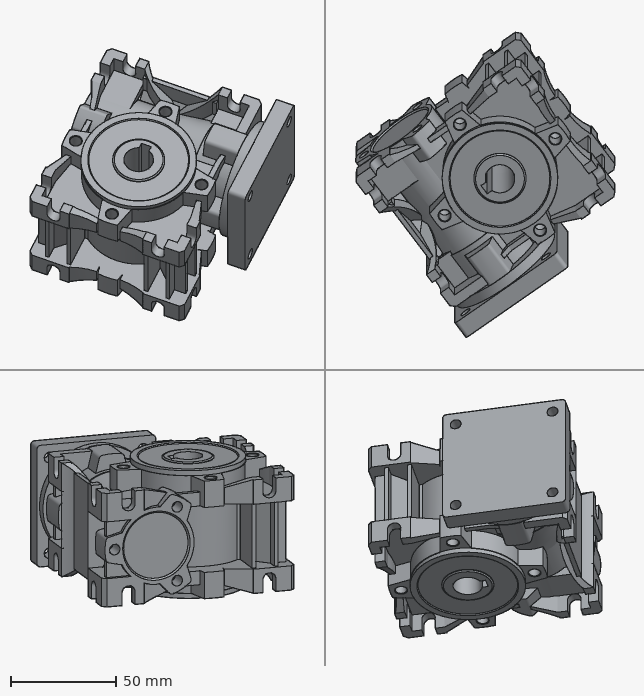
import cadquery as cq
import math


height = 63.0
rim_radius = 27.5
rim_height = 2.5
boss_radius = 27.2
seal_radius = 24.2
seal_depth = 0.5
hub_radius = 12.4
hub_chamfer = 0.8
bore_radius = 7.0
key_width = 5.0
key_top = 9.3
half_height = height / 2
boss_top = half_height - rim_height

half_width = 40.0
rear = 57.0
foot_length = 21.0
foot_chamfer = 2.0
wall = 5.0
tray_bottom = 16.0
rear_foot_bottom = 14.0
floor_top = 18.5
input_pad_top = 16.5
foot_top = 28.0
slot_width = 6.5
slot_offset = 13.0
foot_inner = half_width - foot_length
wall_inner = half_width - wall
rear_foot_start = rear - foot_length
rear_wall_inner = rear - wall
slot_place = half_width - slot_offset
rear_slot_place = rear - slot_offset

web_end = 6.0
front_web_end_height = 23.2
side_web_end_height = 24.1
rib_height = 22.8
rib_end = 18.0
rib_outer = 34.3
rib_inner = 31.7

lug_tip_radius = 38.0
lug_tip_half = 5.0
lug_base_half = 7.7
lug_base_place = 26.0
lug_hole_circle = 32.5
lug_hole_radius = 2.8
lug_hole_chamfer = 0.3
hole_depth = 10.0
drill_angle = 118.0

rib_reach = 38.0
rib_inner_face = 19.0
rib_pitch = 11.2
rib_thickness = 1.9
diagonal_thickness = 2.8

worm_y = 30.0
tube_radius = 19.0
cone_end_radius = 21.2
input_radius = 21.5
input_start = 20.9
input_face = 41.0
end_wall_place = 38.0
end_wall_thickness = 3.0
end_wall_rear = 54.5
cap_radius = 16.2
cap_recess = 0.8
cap_thickness = 5.0
ear_fillet = 2.0
ear_taper = 0.22
cap_ear_tip = 25.9
cap_ear_base_half = 7.9
cap_ear_length = 14.1
cap_hole_circle = 21.0
cap_hole_radius = 2.6
input_ear_tip = 29.0
input_ear_base_half = 8.1
input_ear_start = 23.9

rear_wall_outer_y = 52.1
rear_wall_inner_y = 49.8
rear_wall_top = 23.7
slope_foot_y, slope_foot_z = 46.0, 10.5
rear_web_slope = 0.93

disc_radius = 28.7
disc_thickness = 5.0
plate_size = 60.0
plate_thickness = 9.0
plate_fillet = 2.0
plate_hole_offset = 23.6
plate_hole_radius = 2.6


def box(x, y, z):
    """Box between pairs of limits along each axis."""
    size = [limits[1] - limits[0] for limits in (x, y, z)]
    return cq.Workplane("XY").box(*size, centered=False).translate((x[0], y[0], z[0]))


def x_cylinder(radius, start, end):
    """Cylinder around the worm axis."""
    return cq.Workplane("YZ", origin=(start, worm_y, 0)).circle(radius).extrude(end - start)


def both_sides(shape):
    """The shape together with its mirror image across the middle plane X = 0."""
    return shape.union(shape.mirror("YZ"))


def drilled_hole(radius, depth):
    """Blind drill shape going down from the origin, with a pointed bottom."""
    tip = radius / math.tan(math.radians(drill_angle / 2))
    profile = [(0, 0), (radius, 0), (radius, -depth), (0, -depth - tip)]
    return cq.Workplane("XZ").polyline(profile).close().revolve(360, (0, 0, 0), (0, 1, 0))


def foot_slot(x, y, along_x):
    """Open-topped slot with a round bottom through one foot wall."""
    radius = slot_width / 2
    plane = "YZ" if along_x else "XZ"
    slot = (
        cq.Workplane(plane)
        .moveTo(-radius, foot_top)
        .lineTo(-radius, floor_top + radius)
        .threePointArc((0, floor_top), (radius, floor_top + radius))
        .lineTo(radius, foot_top)
        .close()
        .extrude(wall / 2, both=True)
    )
    return slot.translate((x, y, 0))


def tray():
    """Left half of the upper tray: floor, front foot and the sloping webs."""
    outline = (
        cq.Workplane("XY").workplane(offset=tray_bottom)
        .moveTo(0, -33.8).lineTo(-web_end, -33.8).lineTo(-web_end, -36.8)
        .threePointArc((-12.8, -37.6), (-foot_inner, -39.5))
        .lineTo(-foot_inner, -half_width)
        .lineTo(foot_chamfer - half_width, -half_width)
        .lineTo(-half_width, foot_chamfer - half_width)
        .lineTo(-half_width, -foot_inner).lineTo(-39.4, -foot_inner)
        .lineTo(-35.0, -web_end).lineTo(-rib_inner, -web_end)
        .lineTo(-rib_inner, web_end).lineTo(-rib_outer, web_end)
        .lineTo(-rib_outer, rib_end)
        .threePointArc((-35.2, 23.5), (-39.4, rear_foot_start))
        .lineTo(-foot_inner, rear_foot_start).lineTo(-foot_inner, worm_y).lineTo(0, worm_y)
        .close()
        .extrude(foot_top - tray_bottom)
    )
    pocket = (
        cq.Workplane("XY").workplane(offset=floor_top)
        .moveTo(0, -33.8).lineTo(-web_end, -33.8)
        .threePointArc((-11.5, -34.1), (-17.2, -wall_inner))
        .lineTo(-wall_inner, -wall_inner).lineTo(-wall_inner, -foot_inner)
        .lineTo(-32.4, -web_end).lineTo(-rib_inner, -web_end)
        .lineTo(-rib_inner, rib_end).lineTo(-wall_inner, rear_foot_start)
        .lineTo(0, rear_foot_start).close()
        .extrude(foot_top - floor_top)
    )
    front_slope = (
        cq.Workplane("XZ")
        .polyline([(-foot_inner, foot_top), (-web_end, front_web_end_height), (-web_end, foot_top)])
        .close().extrude(half_width)
    )
    side_slope = (
        cq.Workplane("YZ")
        .polyline([
            (-foot_inner, foot_top), (-web_end, side_web_end_height), (web_end, rib_height),
            (rib_end, rib_height), (rear_foot_start, foot_top),
        ])
        .close().extrude(-half_width)
    )
    body = outline.cut(pocket).cut(front_slope).cut(side_slope)
    body = body.cut(foot_slot(-slot_place, wall / 2 - half_width, False))
    return body.cut(foot_slot(wall / 2 - half_width, -slot_place, True))


def rear_foot(pad_top):
    """Left rear foot of the upper tray: two walls around a recessed pad, slotted at the rear."""
    foot = box((-half_width, -foot_inner), (rear_foot_start, rear), (rear_foot_bottom, foot_top))
    foot = foot.edges("|Z and >Y and <X").chamfer(foot_chamfer)
    pocket = box((-wall_inner, -foot_inner), (0, rear_wall_inner), (pad_top, foot_top))
    return foot.cut(pocket).cut(foot_slot(-slot_place, rear - wall / 2, False))


def rear_web():
    """Curved web from the left rear foot down to the slope behind the worm tube."""
    web = (
        cq.Workplane("XY")
        .moveTo(-foot_inner, rear)
        .threePointArc((-16.4, 53.3), (-12.5, rear_wall_inner_y))
        .lineTo(0, rear_wall_inner_y).lineTo(0, 44.4).lineTo(-3.5, 44.4)
        .threePointArc((-11.3, 46.2), (-foot_inner, rear_wall_inner))
        .close().extrude(foot_top)
    )
    lowest = foot_top - rear_web_slope * foot_inner
    under_slope = (
        cq.Workplane("XZ")
        .polyline([(-foot_inner, 0), (-foot_inner, foot_top), (0, lowest), (0, 0)])
        .close().extrude(-rear)
    )
    return web.intersect(under_slope)


def rear_wall():
    """Left half of the wall between the rear feet, with its slope to the worm tube."""
    profile = [
        (worm_y, 0), (rear_wall_outer_y, 0), (rear_wall_outer_y, rear_wall_top),
        (rear_wall_inner_y, rear_wall_top), (rear_wall_inner_y, rear_foot_bottom),
        (slope_foot_y, slope_foot_z), (worm_y, slope_foot_z),
    ]
    return cq.Workplane("YZ").polyline(profile).close().extrude(-foot_inner)


def lugs():
    """Four tapered lugs around the upper output boss."""
    flank = math.sqrt(lug_tip_radius**2 - lug_tip_half**2)
    lug = (
        cq.Workplane("XY").workplane(offset=tray_bottom)
        .moveTo(lug_base_place, -lug_base_half).lineTo(flank, -lug_tip_half)
        .threePointArc((lug_tip_radius, 0), (flank, lug_tip_half))
        .lineTo(lug_base_place, lug_base_half).close()
        .extrude(boss_top - tray_bottom)
    )
    ring = lug
    for turn in (90, 180, 270):
        ring = ring.union(lug.rotate((0, 0, 0), (0, 0, 1), turn))
    return ring


def lug_holes():
    """Threaded-hole cores in the upper lugs, with a small lead-in chamfer."""
    mouth = lug_hole_radius + lug_hole_chamfer
    lead_in = cq.Workplane("XY").circle(mouth).workplane(offset=-lug_hole_chamfer).circle(lug_hole_radius).loft()
    hole = drilled_hole(lug_hole_radius, hole_depth).union(lead_in)
    hole = hole.translate((lug_hole_circle, 0, boss_top))
    return [hole.rotate((0, 0, 0), (0, 0, 1), turn) for turn in (0, 90, 180, 270)]


def corner_ribs():
    """Ribs under the left front foot, from the middle plane up to the tray."""
    ribs = box((0, 1), (0, 1), (0, tray_bottom))
    for inner in (rib_inner_face, rib_inner_face + rib_pitch):
        outer = inner + rib_thickness
        root = 15.0 if inner == rib_inner_face else inner
        ribs = ribs.union(box((-outer, -inner), (-rib_reach, -root), (0, tray_bottom)))
        ribs = ribs.union(box((-rib_reach, -root), (-outer, -inner), (0, tray_bottom)))
    corner = rib_inner_face + rib_pitch + rib_thickness / 2
    diagonal = (
        cq.Workplane("XY")
        .rect(corner * math.sqrt(2), diagonal_thickness)
        .extrude(tray_bottom)
        .rotate((0, 0, 0), (0, 0, 1), 45)
        .translate((-corner / 2, -corner / 2, 0))
    )
    return ribs.union(diagonal)


def output_boss():
    """Upper half of the drum with its boss and rim."""
    boss = cq.Workplane("XY").circle(boss_radius).extrude(boss_top)
    rim = cq.Workplane("XY").workplane(offset=boss_top).circle(rim_radius).extrude(rim_height)
    return boss.union(rim)


def ear(start, end, hub, tip, base_half):
    """Tapered ear with rounded tip corners, pointing to +Y from the worm axis."""
    base = math.sqrt(hub**2 - base_half**2)
    tip_half = base_half - ear_taper * (tip - base)
    flank = math.sqrt(tip**2 - tip_half**2)
    shape = (
        cq.Workplane("YZ", origin=(start, 0, 0))
        .moveTo(0, -base_half).lineTo(base, -base_half).lineTo(flank, -tip_half)
        .threePointArc((tip, 0), (flank, tip_half))
        .lineTo(base, base_half).lineTo(0, base_half).close()
        .extrude(end - start)
    )
    return shape.edges("|X").edges(">Y").fillet(ear_fillet)


def worm_tube():
    """Tube around the worm, widening towards the input, with the ears at both ends."""
    tube = x_cylinder(tube_radius, -half_width, 0)
    profile = [(0, 0), (0, tube_radius), (input_start, cone_end_radius), (input_start, 0)]
    cone = cq.Workplane("XY").polyline(profile).close().revolve(360, (0, 0, 0), (1, 0, 0))
    tube = tube.union(cone.translate((0, worm_y, 0)))
    tube = tube.union(x_cylinder(input_radius, input_start, input_face))
    cap_ear = ear(-half_width, cap_ear_length - half_width, tube_radius, cap_ear_tip, cap_ear_base_half)
    for turn in (0, 120, 240):
        tube = tube.union(cap_ear.rotate((0, 0, 0), (1, 0, 0), turn).translate((0, worm_y, 0)))
    rear_ear_tip = rear - worm_y
    for turn, tip in ((0, rear_ear_tip), (90, input_ear_tip), (180, input_ear_tip), (270, input_ear_tip)):
        input_ear = ear(input_ear_start, input_face, input_radius, tip, input_ear_base_half)
        tube = tube.union(input_ear.rotate((0, 0, 0), (1, 0, 0), turn).translate((0, worm_y, 0)))
    return tube


def cap_ear_holes():
    """Blind screw holes in the three ears around the worm cap."""
    hole = drilled_hole(cap_hole_radius, hole_depth).rotate((0, 0, 0), (0, 1, 0), -90)
    hole = hole.translate((-half_width, cap_hole_circle, 0))
    holes = []
    for turn in (0, 120, 240):
        holes.append(hole.rotate((0, 0, 0), (1, 0, 0), turn).translate((0, worm_y, 0)))
    return holes


def end_wall():
    """Upper half of the wall under the left rear foot, beside the worm tube."""
    return box((-end_wall_place, end_wall_thickness - end_wall_place),
               (worm_y, end_wall_rear), (0, rear_foot_bottom))


def make_housing():
    """Cast housing, symmetrical above and below the worm axis."""
    left = tray().union(rear_wall()).union(rear_web())
    left = left.union(corner_ribs()).union(end_wall())
    cap_side_foot = rear_foot(floor_top).cut(foot_slot(wall / 2 - half_width, rear_slot_place, True))
    input_side_foot = rear_foot(input_pad_top).mirror("YZ")
    upper = both_sides(left).union(cap_side_foot).union(input_side_foot)
    upper = upper.union(output_boss()).union(lugs())
    recess = (
        cq.Workplane("XY").workplane(offset=half_height).circle(seal_radius)
        .workplane(offset=-seal_depth).circle(seal_radius - seal_depth).loft()
    )
    upper = upper.cut(recess)
    body = upper.union(upper.mirror("XY")).union(worm_tube())
    for hole in lug_holes():
        body = body.cut(hole).cut(hole.mirror("XY"))
    for hole in cap_ear_holes():
        body = body.cut(hole)
    body = body.cut(cq.Workplane("XY").circle(hub_radius).extrude(half_height, both=True))
    seat = x_cylinder(cap_radius, -half_width, cap_recess + cap_thickness - half_width)
    mouth = (
        cq.Workplane("YZ", origin=(-half_width, worm_y, 0)).circle(cap_radius + cap_recess)
        .workplane(offset=cap_recess).circle(cap_radius).loft()
    )
    return body.cut(seat).cut(mouth)


def make_hub():
    """Hollow output shaft with a keyway through its bore."""
    hub = cq.Workplane("XY").circle(hub_radius).extrude(half_height, both=True)
    hub = hub.faces("<Z or >Z").edges().chamfer(hub_chamfer)
    bore = cq.Workplane("XY").circle(bore_radius).extrude(half_height, both=True)
    keyway = box((-key_width / 2, key_width / 2), (0, key_top), (-half_height, half_height))
    return hub.cut(bore).cut(keyway)


def make_cap():
    """Disc that closes the blind end of the worm tube."""
    start = cap_recess - half_width
    return x_cylinder(cap_radius, start, start + cap_thickness)


def make_flange():
    """Square motor flange with a round spacer disc against the housing."""
    plate_start = input_face + disc_thickness
    plate = (
        cq.Workplane("YZ", origin=(plate_start, worm_y, 0))
        .rect(plate_size, plate_size).extrude(plate_thickness)
        .edges("|X").fillet(plate_fillet)
    )
    spacing = 2 * plate_hole_offset
    holes = (
        cq.Workplane("YZ", origin=(plate_start, worm_y, 0))
        .rect(spacing, spacing, forConstruction=True).vertices()
        .circle(plate_hole_radius).extrude(plate_thickness)
    )
    return plate.cut(holes).union(x_cylinder(disc_radius, input_face, plate_start))


housing = make_housing()
hub = make_hub()
cap = make_cap()
flange = make_flange()

result = cq.Compound.makeCompound([housing.val(), hub.val(), cap.val(), flange.val()])